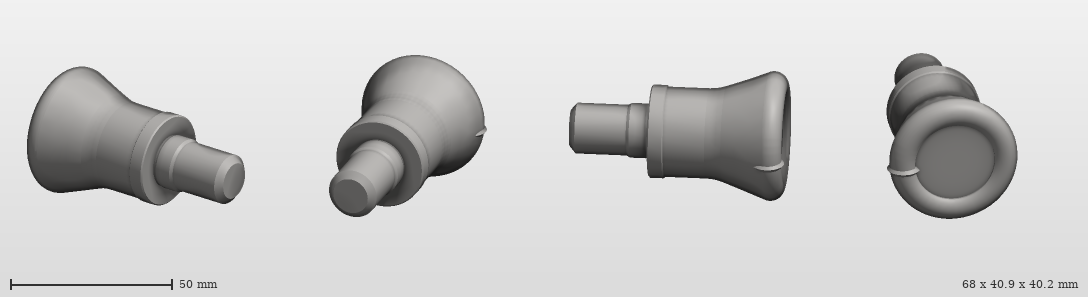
import cadquery as cq
import math

head_rim_radius = 20.1
bead_radius = 4.35
bead_center_x = 5.2
bead_center_r = head_rim_radius - bead_radius
recess_radius = 12.6
floor_x = 3.0

neck_radius = 28.0 / 2
neck_start_x = 25.1
neck_blend_radius = 14.75
collar_radius = 29.0 / 2
collar_start_x = 38.0
collar_end_x = 43.0
collar_chamfer = 0.4

relief_radius = 16.6 / 2
relief_end_x = 43.6
boss_radius = 17 / 2
boss_start_x = 44.1
boss_end_x = 49.15
stem_radius = 15.8 / 2
stem_start_x = 50.1
stem_end_x = 68
tip_length = 1.9
tip_depth = 2.2

ridge_radius = bead_center_x
ridge_z = -2.05
ridge_half_width = 1.35
ridge_root_radius = 4.1


def point_on(center, radius, angle):
    return (center[0] + radius * math.cos(angle), center[1] + radius * math.sin(angle))


def turned_body():
    """Revolve the half profile, with points given as (x, radius)."""
    bead_center = (bead_center_x, bead_center_r)
    blend_center = (neck_start_x, neck_radius + neck_blend_radius)

    dx = blend_center[0] - bead_center[0]
    dr = blend_center[1] - bead_center[1]
    center_distance = math.hypot(dx, dr)
    tangent_angle = math.atan2(dr, dx) + math.acos((bead_radius + neck_blend_radius) / center_distance)
    cone_start = point_on(bead_center, bead_radius, tangent_angle)
    cone_end = point_on(blend_center, -neck_blend_radius, tangent_angle)
    blend_middle_angle = (tangent_angle + math.pi / 2) / 2
    blend_middle = point_on(blend_center, -neck_blend_radius, blend_middle_angle)

    wall_mouth_x = bead_center_x - math.sqrt(bead_radius**2 - (bead_center_r - recess_radius) ** 2)

    profile = (
        cq.Workplane("XY")
        .moveTo(floor_x, 0)
        .lineTo(floor_x, recess_radius)
        .lineTo(wall_mouth_x, recess_radius)
        .threePointArc((bead_center_x - bead_radius, bead_center_r), cone_start)
        .lineTo(*cone_end)
        .threePointArc(blend_middle, (neck_start_x, neck_radius))
        .lineTo(collar_start_x, neck_radius)
        .lineTo(collar_start_x + collar_chamfer, collar_radius)
        .lineTo(collar_end_x - collar_chamfer, collar_radius)
        .lineTo(collar_end_x, collar_radius - collar_chamfer)
        .lineTo(collar_end_x, relief_radius)
        .lineTo(relief_end_x, relief_radius)
        .lineTo(boss_start_x, boss_radius)
        .lineTo(boss_end_x, boss_radius)
        .lineTo(stem_start_x, stem_radius)
        .lineTo(stem_end_x - tip_length, stem_radius)
        .lineTo(stem_end_x, stem_radius - tip_depth)
        .lineTo(stem_end_x, 0)
        .close()
    )
    return profile.revolve(360, (0, 0, 0), (1, 0, 0))


def bead_ridge():
    """Double-coned disc, concentric with the bead section and lying across it."""
    ridge_center_y = math.sqrt(bead_center_r**2 - ridge_z**2)
    return (
        cq.Workplane("XZ")
        .moveTo(0, -ridge_half_width)
        .lineTo(ridge_root_radius, -ridge_half_width)
        .lineTo(ridge_radius, 0)
        .lineTo(ridge_root_radius, ridge_half_width)
        .lineTo(0, ridge_half_width)
        .close()
        .revolve(360, (0, 0, 0), (0, 1, 0))
        .translate((bead_center_x, ridge_center_y, ridge_z))
    )


result = turned_body().union(bead_ridge())